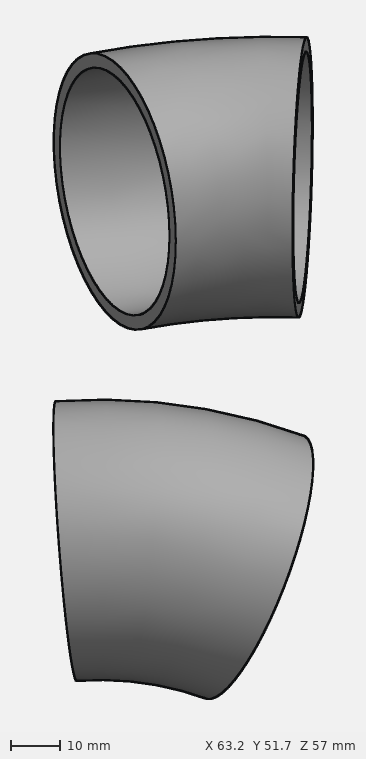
import cadquery as cq
import math

overall_width = 63.2
bend_radius = 75.0
bend_angle = 30.0
wall_thickness = 3.0

bend_cosine = math.cos(math.radians(bend_angle))
outer_radius = (overall_width - bend_radius * (1 - bend_cosine)) / (1 + bend_cosine)
inner_radius = outer_radius - wall_thickness


def make_elbow():
    """Revolve the ring-shaped inlet, centred on the origin and facing -Y, about the bend axis."""
    ring = cq.Workplane("XZ").circle(outer_radius).circle(inner_radius)
    axis_start = (bend_radius, 0)
    axis_end = (bend_radius, -1)
    return ring.revolve(bend_angle, axis_start, axis_end)


result = make_elbow()